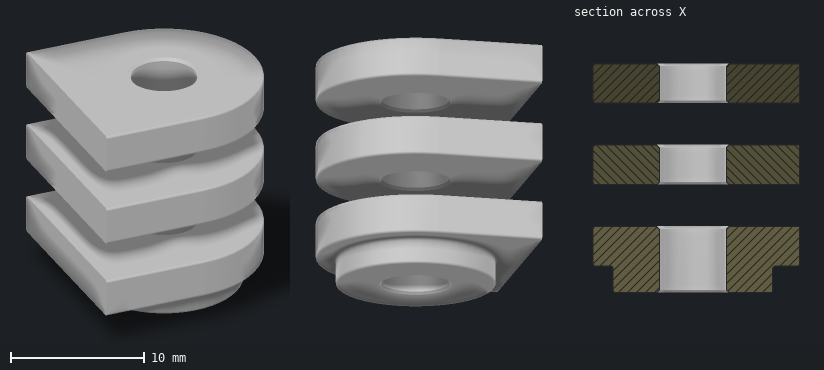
import cadquery as cq

total_height = 17.2
plate_width = 15.0
plate_thickness = 3.0
plate_pitch = 6.1
straight_length = 8.0
hole_diameter = 5.0
boss_diameter = 12.0
edge_radius = 0.2
hole_chamfer = 0.2
leaf_count = 2
selection_margin = 0.09

half_width = plate_width / 2
boss_height = total_height - leaf_count * plate_pitch - plate_thickness


def plate_blank(bottom):
    """Straight-sided plate with a round end, its curved and side edges rounded."""
    blank = (
        cq.Workplane("XY", origin=(0, 0, bottom))
        .moveTo(-half_width, -straight_length)
        .lineTo(half_width, -straight_length)
        .lineTo(half_width, 0)
        .threePointArc((0, half_width), (-half_width, 0))
        .close()
        .extrude(plate_thickness)
    )
    return blank.edges("not (<Y or |Z)").fillet(edge_radius)


def edges_within(diameter, bottom, top):
    """Selector for edges inside an upright round region on the Z axis."""
    reach = diameter / 2 + selection_margin
    return cq.selectors.BoxSelector(
        (-reach, -reach, bottom - selection_margin),
        (reach, reach, top + selection_margin),
        boundingbox=True,
    )


def drill(body, bottom, height):
    """Cut the through hole and chamfer both of its rims."""
    hole = cq.Workplane("XY", origin=(0, 0, bottom)).circle(hole_diameter / 2).extrude(height)
    hole_edges = edges_within(hole_diameter, bottom, bottom + height)
    return body.cut(hole).edges(hole_edges).edges("%CIRCLE").chamfer(hole_chamfer)


def make_leaf(bottom):
    """Plain drilled plate."""
    return drill(plate_blank(bottom), bottom, plate_thickness)


def make_base():
    """Drilled plate with a round boss below it."""
    boss = cq.Workplane("XY").circle(boss_diameter / 2).extrude(boss_height)
    body = plate_blank(boss_height).union(boss)
    boss_edges = edges_within(boss_diameter, 0, boss_height)
    body = body.edges(boss_edges).edges("%CIRCLE").fillet(edge_radius)
    return drill(body, 0, boss_height + plate_thickness)


base = make_base()
leaves = [
    make_leaf(boss_height + level * plate_pitch)
    for level in range(1, leaf_count + 1)
]

result = cq.Compound.makeCompound([base.val(), *[leaf.val() for leaf in leaves]])